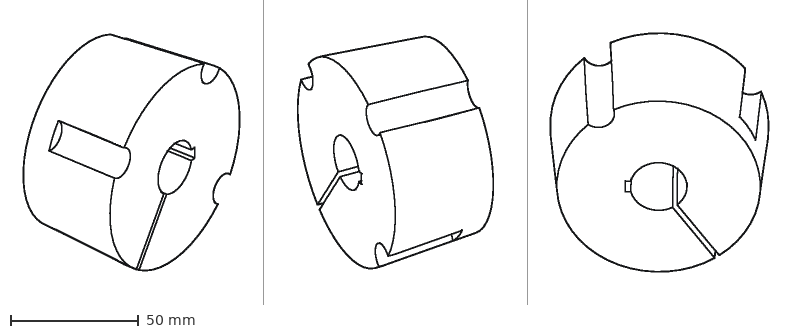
import cadquery as cq
import math

length = 44.45
large_radius = 42.8
small_radius = 39.9
rim_length = 3.1

bore_radius = 11.1
keyway_width = 5.0
keyway_reach = 13.1

notch_angle = 125.0
pocket_spacing = 95.0
split_angle = notch_angle - 180.0
split_width = 2.1

recess_radius = 6.3
recess_centre_radius = 41.3
pocket_start = 11.1


def tapered_body():
    """Cone with a short cylindrical rim at the large end."""
    profile = [
        (0, 0),
        (0, small_radius),
        (length - rim_length, large_radius),
        (length, large_radius),
        (length, 0),
    ]
    return cq.Workplane("XY").polyline(profile).close().revolve(360, (0, 0, 0), (1, 0, 0))


def recess_cutter(angle, start):
    """Round cutter parallel to the axis, running from start to the large end."""
    y = -recess_centre_radius * math.cos(math.radians(angle))
    z = recess_centre_radius * math.sin(math.radians(angle))
    return (
        cq.Workplane("YZ", origin=(start, 0, 0))
        .center(y, z)
        .circle(recess_radius)
        .extrude(length - start)
    )


def radial_slot(width, reach, angle):
    """Full-length slot reaching from the axis outwards at the given angle."""
    slot = cq.Workplane("XY").box(length, reach, width, centered=(False, False, True))
    return slot.rotate((0, 0, 0), (1, 0, 0), 180.0 - angle)


bore = cq.Workplane("YZ").circle(bore_radius).extrude(length)
keyway = radial_slot(keyway_width, keyway_reach, 180.0)
split = radial_slot(split_width, large_radius + split_width, split_angle)

result = tapered_body().cut(bore).cut(keyway).cut(split)

result = result.cut(recess_cutter(notch_angle, 0))
for side in (-1, 1):
    result = result.cut(recess_cutter(notch_angle + side * pocket_spacing, pocket_start))